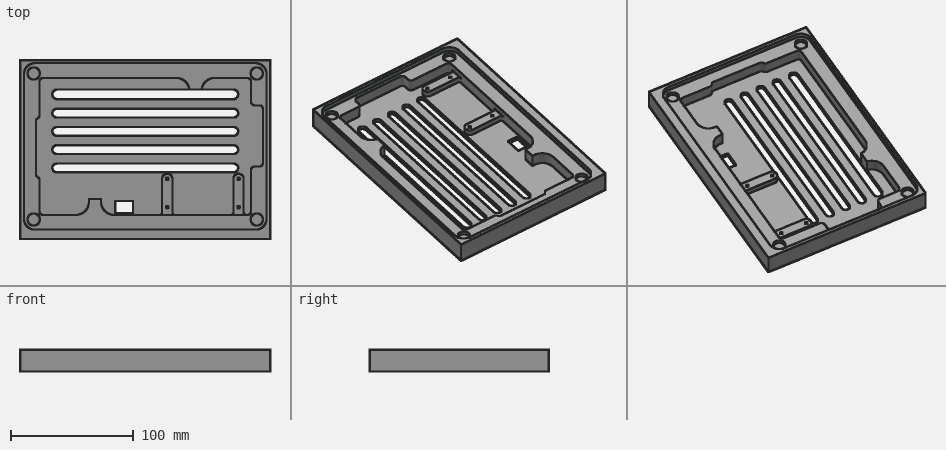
import cadquery as cq
import math

LENGTH = 204.0
WIDTH = 146.0
HEIGHT = 18.0
FLOOR = 3.0
LIP_DEPTH = 4.0
CENTER_Y = 2.7

RECESS_LENGTH = 197.9
RECESS_WIDTH = 135.9
RECESS_RADIUS = 9.0

CAVITY_LENGTH = 172.4
CAVITY_WIDTH = 111.8
CORNER_RADIUS = 2.9

LEFT_BAY_DEPTH = 3.0
LEFT_BAY_WIDTH = 48.0
LEFT_BAY_Y = 1.6
RIGHT_BAY_DEPTH = 9.8
RIGHT_BAY_WIDTH = 50.0
RIGHT_BAY_Y = 11.2
BAY_RADIUS = 3.0

TAB_X = 41.0
TAB_WIDTH = 9.8
TAB_REACH = 12.9
TAB_FLARE_RADIUS = 10.8

SOCKET_DIAMETER = 10.0
SOCKET_DEPTH = 3.0
SOCKET_SPACING_X = 182.0
SOCKET_SPACING_Y = 119.1

SLOT_LENGTH = 151.4
SLOT_WIDTH = 7.0
BACK_SLOT_WIDTH = 7.8
SLOT_PITCH = 14.9
SLOT_ROWS = (-1, 0, 1, 2)
BACK_SLOT_Y = 45.0

WINDOW_LENGTH = 14.3
WINDOW_WIDTH = 9.8
WINDOW_X = -17.1
WINDOW_Y = -47.0

RIB_XS = (18.0, 76.0)
RIB_WIDTH = 8.4
RIB_HEIGHT = 5.0
RIB_TIP_Y = -19.5
RIB_ROOT_RADIUS = 2.0
SCREW_DIAMETER = 2.0
SCREW_DEPTH = 3.0
SCREW_SPACING = 23.0

ROOT_OVERLAP = 2.0

SHELF_Z = HEIGHT - LIP_DEPTH
CAVITY_DEPTH = SHELF_Z - FLOOR
SIDE_X = CAVITY_LENGTH / 2
FRONT_Y = CENTER_Y - CAVITY_WIDTH / 2
BACK_Y = CENTER_Y + CAVITY_WIDTH / 2


def block(length, width, height, x, y, z):
    """Box centred on x, y with its bottom face at z."""
    return cq.Workplane("XY").box(length, width, height, centered=(True, True, False)).translate((x, y, z))


def bay(side, depth, width, y):
    """Widening of the cavity on one side (-1 left, +1 right); each end bends out and back in two arcs.

    A bay too shallow for two quarter arcs gets shorter arcs that meet in an S.
    """
    rise = min(BAY_RADIUS, depth / 2)
    run = math.sqrt(BAY_RADIUS**2 - (BAY_RADIUS - rise) ** 2)
    has_straight_end = depth > 2 * BAY_RADIUS
    half = width / 2
    wall_x = side * SIDE_X
    bend_x = side * (SIDE_X + rise)
    step_x = side * (SIDE_X + depth - rise)
    far_x = side * (SIDE_X + depth)
    inside_x = side * (SIDE_X - depth)
    bend_radius = side * BAY_RADIUS
    outline = (
        cq.Workplane("XY", origin=(0, y, FLOOR))
        .moveTo(inside_x, -half - run)
        .lineTo(wall_x, -half - run)
        .radiusArc((bend_x, -half), bend_radius)
    )
    if has_straight_end:
        outline = outline.lineTo(step_x, -half)
    outline = (
        outline.radiusArc((far_x, -half + run), -bend_radius)
        .lineTo(far_x, half - run)
        .radiusArc((step_x, half), -bend_radius)
    )
    if has_straight_end:
        outline = outline.lineTo(bend_x, half)
    outline = outline.radiusArc((wall_x, half + run), bend_radius).lineTo(inside_x, half + run).close()
    return outline.extrude(CAVITY_DEPTH)


def cavity():
    """Main pocket with a shallow bay on the left and a deeper one on the right."""
    body = block(CAVITY_LENGTH, CAVITY_WIDTH, CAVITY_DEPTH, 0, CENTER_Y, FLOOR)
    body = body.edges("|Z").fillet(CORNER_RADIUS)
    body = body.union(bay(-1, LEFT_BAY_DEPTH, LEFT_BAY_WIDTH, LEFT_BAY_Y))
    return body.union(bay(1, RIGHT_BAY_DEPTH, RIGHT_BAY_WIDTH, RIGHT_BAY_Y))


def flared_rib(x, wall_y, direction, width, reach, flare, height):
    """Rib on the floor, growing from a wall towards +Y (1) or -Y (-1), with round flares at its root."""
    half = width / 2
    wide = half + flare
    root_y = wall_y - direction * ROOT_OVERLAP
    flare_y = wall_y + direction * flare
    tip_y = wall_y + direction * reach
    outline = (
        cq.Workplane("XY", origin=(0, 0, FLOOR))
        .moveTo(x - wide, root_y)
        .lineTo(x - wide, wall_y)
        .radiusArc((x - half, flare_y), direction * -flare)
        .lineTo(x - half, tip_y)
        .lineTo(x + half, tip_y)
        .lineTo(x + half, flare_y)
        .radiusArc((x + wide, wall_y), direction * -flare)
        .lineTo(x + wide, root_y)
        .close()
    )
    return outline.extrude(height)


def screw_rib(x):
    """Low rib with a round tip and two screw pilot holes."""
    tip_center_y = RIB_TIP_Y - RIB_WIDTH / 2
    rib = flared_rib(x, FRONT_Y, 1, RIB_WIDTH, tip_center_y - FRONT_Y, RIB_ROOT_RADIUS, RIB_HEIGHT)
    tip = cq.Workplane("XY", origin=(x, tip_center_y, FLOOR)).circle(RIB_WIDTH / 2).extrude(RIB_HEIGHT)
    pilots = (
        cq.Workplane("XY", origin=(x, tip_center_y, FLOOR + RIB_HEIGHT))
        .pushPoints([(0, 0), (0, -SCREW_SPACING)])
        .circle(SCREW_DIAMETER / 2)
        .extrude(-SCREW_DEPTH)
    )
    return rib.union(tip).cut(pilots)


def slot(y, width):
    """Through slot along X."""
    return cq.Workplane("XY").center(0, y).slot2D(SLOT_LENGTH, width).extrude(SHELF_Z)


recess = block(RECESS_LENGTH, RECESS_WIDTH, LIP_DEPTH, 0, CENTER_Y, SHELF_Z)
recess = recess.edges("|Z").fillet(RECESS_RADIUS)
result = block(LENGTH, WIDTH, HEIGHT, 0, 0, 0).cut(recess).cut(cavity())

for tab_x, wall_y, direction in ((-TAB_X, FRONT_Y, 1), (TAB_X, BACK_Y, -1)):
    result = result.union(
        flared_rib(tab_x, wall_y, direction, TAB_WIDTH, TAB_REACH, TAB_FLARE_RADIUS, CAVITY_DEPTH)
    )
for rib_x in RIB_XS:
    result = result.union(screw_rib(rib_x))

for row in SLOT_ROWS:
    result = result.cut(slot(row * SLOT_PITCH, SLOT_WIDTH))
result = result.cut(slot(BACK_SLOT_Y, BACK_SLOT_WIDTH))

result = result.cut(block(WINDOW_LENGTH, WINDOW_WIDTH, FLOOR, WINDOW_X, WINDOW_Y, 0))

sockets = (
    cq.Workplane("XY", origin=(0, CENTER_Y, SHELF_Z))
    .rect(SOCKET_SPACING_X, SOCKET_SPACING_Y, forConstruction=True)
    .vertices()
    .circle(SOCKET_DIAMETER / 2)
    .extrude(-SOCKET_DEPTH)
)
result = result.cut(sockets)